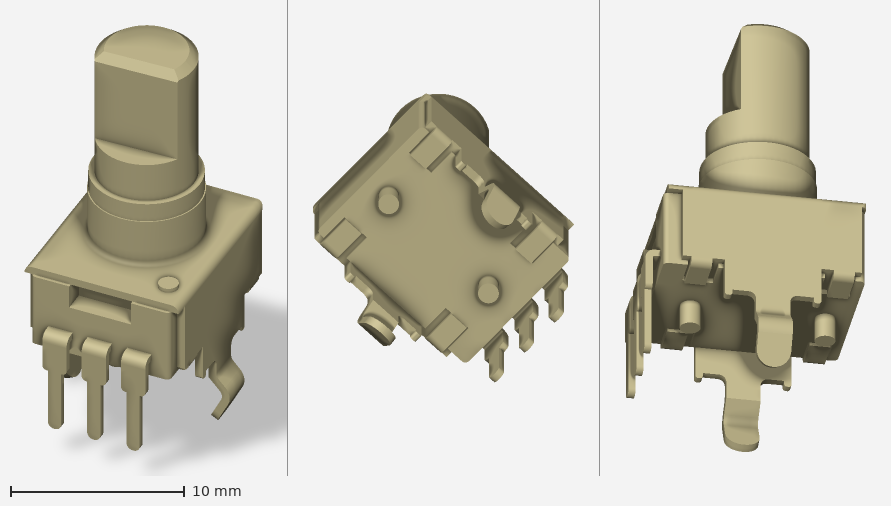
import cadquery as cq
import math


shaft_dia = 6.0
shaft_top = 12.75
flat_bottom = 6.75
flat_offset = 1.52
flat_turn = 1.5
tip_chamfer_height = 0.45
tip_chamfer_width = 0.55

sheet = 0.5
cover_width = 9.8
plate_back = 5.5
plate_front = 6.1
corner_radius = 0.3

bushing_dia = 6.85
bushing_step = 3.05
collar_dia = 6.71
collar_top = 4.25
bushing_fillet = 0.3

wall_back = 5.2
wall_front = 5.27
wall_bottom = -4.92
skirt_half = 2.82
skirt_bottom = -6.9
foot_width = 0.45
foot_bottom = -7.28
foot_radius = 0.17

leg_width = 2.0
leg_root_fillet = 0.45
leg_span = 11.5
leg_bend_start = -8.0
leg_bottom = -11.75
leg_out_angle = 43.0
leg_in_angle = 27.0
leg_upper_radius = 0.56
leg_lower_radius = 1.03
leg_tip_radius = 0.98

tab_width = 1.22
tab_center = 4.16
tab_end = 2.7
tab_bend_radius = 0.45

base_width = cover_width - 2 * sheet
base_front = 6.3
base_bottom = -5.22
window_width = 3.92
window_bottom = -1.98
window_depth = 1.3
recess_inner = 3.1
recess_outer = 4.9

peg_dia = 1.2
top_peg_x = 3.5
top_peg_y = 4.5
top_peg_height = 0.27
post_y = 3.95
post_bottom = -6.71

terminal_count = 3
terminal_pitch = 2.5
terminal_front = 7.15
terminal_top = -3.7
terminal_sheet = 0.42
terminal_bend_radius = 0.55
terminal_inner_radius = terminal_bend_radius - terminal_sheet
shoulder_width = 1.55
shoulder_bottom = -6.2
shoulder_radius = 0.3
prong_width = 0.83
prong_bottom = -10.2
prong_radius = 0.4

plate_underside = -sheet
top_peg_points = [(-top_peg_x, top_peg_y), (top_peg_x, -top_peg_y)]


def block(x_range, y_range, z_range):
    """Axis-aligned box given by its limits on each axis."""
    spans = [high - low for low, high in (x_range, y_range, z_range)]
    corner = (x_range[0], y_range[0], z_range[0])
    return cq.Workplane("XY").box(*spans, centered=False).translate(corner)


def cylinder(dia, bottom, top, points=((0, 0),)):
    """Upright cylinders of one diameter at the given XY points."""
    return (
        cq.Workplane("XY", origin=(0, 0, bottom))
        .pushPoints(points)
        .circle(dia / 2)
        .extrude(top - bottom)
    )


def make_shaft():
    """Round shaft with a D-flat and a chamfered tip, standing on the base."""
    side_cut = block(
        (-shaft_dia, shaft_dia), (-shaft_dia, -flat_offset), (flat_bottom, shaft_top)
    ).rotate((0, 0, 0), (0, 0, 1), flat_turn)
    shaft = cylinder(shaft_dia, plate_underside, shaft_top).cut(side_cut)
    return shaft.faces(">Z").chamfer(tip_chamfer_height, tip_chamfer_width)


def make_plate():
    """Top plate: rounded long edges and rounded back corners."""
    half = cover_width / 2
    section = (
        cq.Workplane("XZ", origin=(0, plate_back, 0))
        .moveTo(-half, plate_underside)
        .radiusArc((-half + sheet, 0), sheet)
        .lineTo(half - sheet, 0)
        .radiusArc((half, plate_underside), sheet)
        .close()
        .extrude(plate_back + plate_front)
    )
    footprint = block(
        (-half, half), (-plate_front, plate_back), (plate_underside, 0)
    ).edges("|Z and >Y").fillet(corner_radius)
    return section.intersect(footprint)


def make_bushing():
    """Stepped bushing with a flared foot, solid until the bore is cut."""
    radius = bushing_dia / 2
    return (
        cq.Workplane("XZ")
        .moveTo(0, plate_underside)
        .lineTo(radius + bushing_fillet, plate_underside)
        .lineTo(radius + bushing_fillet, 0)
        .radiusArc((radius, bushing_fillet), bushing_fillet)
        .lineTo(radius, bushing_step)
        .lineTo(collar_dia / 2, bushing_step)
        .lineTo(collar_dia / 2, collar_top)
        .lineTo(0, collar_top)
        .close()
        .revolve(360, (0, 0, 0), (0, 1, 0))
    )


def make_side_wall():
    """Right-hand side wall with its narrower skirt and two small feet."""
    x_range = (cover_width / 2 - sheet, cover_width / 2)
    wall = block(x_range, (-wall_front, wall_back), (wall_bottom, plate_underside))
    skirt = block(x_range, (-skirt_half, skirt_half), (skirt_bottom, wall_bottom))
    stub = block(x_range, (-leg_width / 2, leg_width / 2), (leg_bend_start, skirt_bottom))
    skirt = skirt.union(stub)
    root_edges = cq.selectors.BoxSelector(
        (0, -skirt_half / 2, skirt_bottom - sheet / 2),
        (cover_width, skirt_half / 2, skirt_bottom + sheet / 2),
    )
    skirt = skirt.edges("|X").edges(root_edges).fillet(leg_root_fillet)
    wall = wall.union(skirt)
    for inner_y in (-skirt_half, skirt_half - foot_width):
        foot = block(x_range, (inner_y, inner_y + foot_width), (foot_bottom, skirt_bottom))
        wall = wall.union(foot.edges("|X and <Z").fillet(foot_radius))
    return wall


def bend(start, angle_in, angle_out, radius):
    """Middle and end points of an arc; angles in degrees from straight down, outward positive."""
    turn = math.copysign(radius, angle_out - angle_in)

    def point_at(angle):
        a, b = math.radians(angle_in), math.radians(angle)
        return (
            start[0] + turn * (math.cos(a) - math.cos(b)),
            start[1] - turn * (math.sin(b) - math.sin(a)),
        )

    return point_at((angle_in + angle_out) / 2), point_at(angle_out)


def inward(point, angle):
    """Point one sheet thickness inside the outer face, where the leg runs at the given angle."""
    a = math.radians(angle)
    return (point[0] - sheet * math.cos(a), point[1] - sheet * math.sin(a))


def make_leg():
    """Right-hand snap-in leg: strip bent outward, then back inward, with a round tip."""
    outer_x = cover_width / 2
    out_angle = math.radians(leg_out_angle)
    in_angle = math.radians(leg_in_angle)

    bends_reach = (leg_upper_radius + leg_lower_radius) * (1 - math.cos(out_angle))
    slope_run = leg_span / 2 - outer_x - bends_reach
    slope_drop = slope_run / math.tan(out_angle)

    upper_start = (outer_x, leg_bend_start)
    upper_mid, upper_end = bend(upper_start, 0, leg_out_angle, leg_upper_radius)
    lower_start = (upper_end[0] + slope_run, upper_end[1] - slope_drop)
    lower_mid, lower_end = bend(lower_start, leg_out_angle, -leg_in_angle, leg_lower_radius)
    tip = (lower_end[0] - (lower_end[1] - leg_bottom) * math.tan(in_angle), leg_bottom)
    middle_angle = (leg_out_angle - leg_in_angle) / 2
    inner_corner = (
        outer_x - sheet,
        leg_bend_start - (leg_upper_radius + sheet) * math.tan(out_angle / 2),
    )

    strip = (
        cq.Workplane("XZ", origin=(0, leg_width / 2, 0))
        .moveTo(*upper_start)
        .threePointArc(upper_mid, upper_end)
        .lineTo(*lower_start)
        .threePointArc(lower_mid, lower_end)
        .lineTo(*tip)
        .lineTo(*inward(tip, -leg_in_angle))
        .lineTo(*inward(lower_end, -leg_in_angle))
        .threePointArc(inward(lower_mid, middle_angle), inward(lower_start, leg_out_angle))
        .lineTo(*inner_corner)
        .lineTo(*inward(upper_start, 0))
        .close()
        .extrude(leg_width)
    )
    tip_corners = cq.selectors.BoxSelector(
        (tip[0] - 2 * sheet, -leg_width, tip[1] - sheet),
        (tip[0] + sheet, leg_width, tip[1] + sheet),
    )
    return strip.edges("#Y").edges(tip_corners).fillet(leg_tip_radius)


def make_bent_tab(center_y):
    """Right-hand tab folded under the base from the bottom of the side wall."""
    y_range = (center_y - tab_width / 2, center_y + tab_width / 2)
    tab = block((tab_end, cover_width / 2), y_range, (wall_bottom - sheet, wall_bottom))
    return tab.edges("|Y and >X and <Z").fillet(tab_bend_radius)


def make_cover():
    """Sheet-metal cover: plate, bored bushing, side walls, legs and bent tabs."""
    side = make_side_wall().union(make_leg())
    for center_y in (-tab_center, tab_center):
        side = side.union(make_bent_tab(center_y))
    cover = make_plate().union(make_bushing()).union(side).union(side.mirror("YZ"))
    cover = cover.cut(cylinder(shaft_dia, plate_underside, collar_top))
    return cover.cut(cylinder(peg_dia, plate_underside, 0, top_peg_points))


def make_terminal(center_x):
    """Flat terminal that leaves the base forward and bends down into a narrow prong."""
    side_profile = (
        cq.Workplane("YZ", origin=(center_x - shoulder_width / 2, 0, 0))
        .moveTo(-base_front, terminal_top)
        .lineTo(-terminal_front + terminal_bend_radius, terminal_top)
        .radiusArc((-terminal_front, terminal_top - terminal_bend_radius), -terminal_bend_radius)
        .lineTo(-terminal_front, prong_bottom)
        .lineTo(-terminal_front + terminal_sheet, prong_bottom)
        .lineTo(-terminal_front + terminal_sheet, terminal_top - terminal_bend_radius)
        .radiusArc(
            (-terminal_front + terminal_bend_radius, terminal_top - terminal_sheet),
            terminal_inner_radius,
        )
        .lineTo(-base_front, terminal_top - terminal_sheet)
        .close()
        .extrude(shoulder_width)
    )

    def outline_part(width, top, bottom, radius):
        x_range = (center_x - width / 2, center_x + width / 2)
        part = block(x_range, (-terminal_front, -base_front), (bottom, top))
        return part.edges("|Y and <Z").fillet(radius)

    shoulder = outline_part(shoulder_width, terminal_top, shoulder_bottom, shoulder_radius)
    prong = outline_part(prong_width, terminal_top, prong_bottom, prong_radius)
    return side_profile.intersect(shoulder.union(prong))


def make_base():
    """Moulded base with front window, tab recesses, pegs, posts and terminals."""
    half = base_width / 2
    base = block((-half, half), (-base_front, plate_back), (base_bottom, plate_underside))
    base = base.edges("|Z").fillet(corner_radius)
    base = base.cut(
        block(
            (-window_width / 2, window_width / 2),
            (-base_front, -base_front + window_depth),
            (window_bottom, plate_underside),
        )
    )
    for x_range in ((-half, -tab_end), (tab_end, half)):
        for y_range in ((-recess_outer, -recess_inner), (recess_inner, recess_outer)):
            base = base.cut(block(x_range, y_range, (base_bottom, wall_bottom)))

    base = base.union(cylinder(peg_dia, plate_underside, top_peg_height, top_peg_points))
    base = base.union(cylinder(peg_dia, post_bottom, base_bottom, [(0, -post_y), (0, post_y)]))
    for index in range(terminal_count):
        center_x = (index - (terminal_count - 1) / 2) * terminal_pitch
        base = base.union(make_terminal(center_x))
    return base


shaft = make_shaft()
cover = make_cover()
base = make_base()

result = cq.Compound.makeCompound([shaft.val(), cover.val(), base.val()])